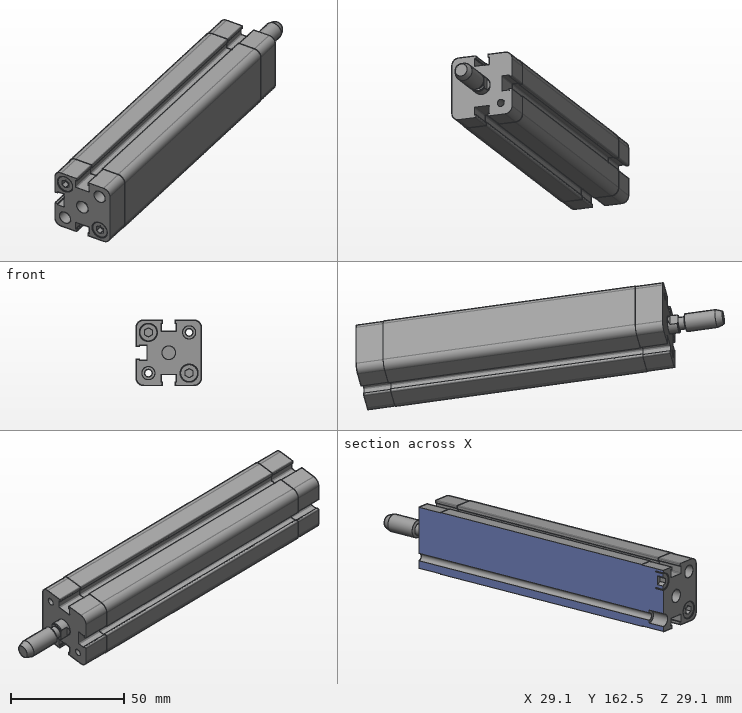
import cadquery as cq
import math

total_length = 162.5
rod_length = 24.5
cap_length = 12.25
body_length = total_length - rod_length

tube_side = 29.05
corner_radius = 3.5
cap_inset = 0.18

slot_depth = 4.85
slot_width = 6.6
slot_lip = 1.7
slot_opening = 5.4
slot_fillet = 0.3
slot_angles = (0, 90, 180)

hole_offset = 9.0
through_diameter = 3.24
counterbore_diameter = 5.8
counterbore_depth = 8.0
screw_bore_diameter = 8.0
screw_head_diameter = 7.5
screw_head_height = 4.0
screw_recess = 0.3
socket_flats = 3.5
socket_depth = 3.0

center_hole_diameter = 6.0
center_hole_depth = 6.0

rod_diameter = 8.0
rod_shoulder_length = 4.7
rod_shoulder_chamfer = 0.4
rod_flats = 6.0
rod_flats_start = 1.2
neck_diameter = 5.5
thread_length = 17.2
thread_runout = 0.5
tip_diameter = 5.7
tip_bulge = 0.12
tip_length = 3.0


def along_y(start):
    """Sketch plane at Y = start with local x = X, local y = Z, extruding toward +Y."""
    plane = cq.Plane(origin=(0, start, 0), xDir=(1, 0, 0), normal=(0, -1, 0))
    return cq.Workplane(plane)


def cylinder(diameter, start, length, x=0, z=0):
    return along_y(start).center(x, z).circle(diameter / 2).extrude(-length)


def slot_cutter(inset, start, length):
    """T-slot in the +Z side, rounded at its floor corners and at the edges of its mouth."""
    surface = tube_side / 2 - inset
    floor = tube_side / 2 - slot_depth - inset
    lip = tube_side / 2 - slot_lip + inset
    half_width = slot_width / 2 + inset
    half_opening = slot_opening / 2 + inset
    half_flare = half_opening + slot_fillet
    chamber = along_y(start).center(0, (floor + lip) / 2).rect(2 * half_width, lip - floor)
    chamber = chamber.extrude(-length).edges("|Y and <Z").fillet(slot_fillet)
    arc_drop = slot_fillet * (1 - math.sqrt(0.5))
    mouth = (
        along_y(start)
        .moveTo(-half_opening, floor + slot_fillet)
        .lineTo(half_opening, floor + slot_fillet)
        .lineTo(half_opening, surface - slot_fillet)
        .threePointArc((half_opening + arc_drop, surface - arc_drop), (half_flare, surface))
        .lineTo(-half_flare, surface)
        .threePointArc(
            (-half_opening - arc_drop, surface - arc_drop),
            (-half_opening, surface - slot_fillet),
        )
        .close()
        .extrude(-length)
    )
    return chamber.union(mouth)


def section(inset, start, length):
    """Length of the slotted square section, set in from the tube section by the given inset."""
    side = tube_side - 2 * inset
    bar = along_y(start).rect(side, side).extrude(-length)
    bar = bar.edges("|Y").fillet(corner_radius - inset)
    cutter = slot_cutter(inset, start, length)
    for angle in slot_angles:
        bar = bar.cut(cutter.rotate((0, 0, 0), (0, 1, 0), -angle))
    return bar


def body():
    tube_length = body_length - 2 * cap_length
    front_cap = section(cap_inset, 0, cap_length)
    tube = section(0, cap_length, tube_length)
    rear_cap = section(cap_inset, body_length - cap_length, cap_length)
    return front_cap.union(tube).union(rear_cap)


def mounting_hole(x, z):
    """Hole through the whole body, counterbored from the front face."""
    through = cylinder(through_diameter, 0, body_length, x, z)
    return through.union(cylinder(counterbore_diameter, 0, counterbore_depth, x, z))


def screw_bore(x, z):
    return cylinder(screw_bore_diameter, 0, screw_recess + screw_head_height, x, z)


def screw_head(x, z):
    """Hexagon-socket screw head standing on the floor of its bore, with socket points along Z."""
    head = cylinder(screw_head_diameter, screw_recess, screw_head_height, x, z)
    socket_points_diameter = socket_flats / math.cos(math.pi / 6)
    socket = along_y(screw_recess).center(x, z).transformed(rotate=(0, 0, 90))
    socket = socket.polygon(6, socket_points_diameter).extrude(-socket_depth)
    return head.cut(socket)


def rod():
    """Threaded rod with a waist, a crowned tip and two wrench flats at its base."""
    rod_radius = rod_diameter / 2
    neck_radius = neck_diameter / 2
    tip_radius = tip_diameter / 2
    thread_start = rod_length - thread_length
    tip_middle = ((rod_radius + tip_radius) / 2 + tip_bulge, rod_length - tip_length / 2)
    turned = (
        cq.Workplane("XY")
        .lineTo(rod_radius, 0)
        .lineTo(rod_radius, rod_shoulder_length - rod_shoulder_chamfer)
        .lineTo(rod_radius - rod_shoulder_chamfer, rod_shoulder_length)
        .lineTo(neck_radius, rod_shoulder_length)
        .lineTo(neck_radius, thread_start)
        .lineTo(rod_radius, thread_start + thread_runout)
        .lineTo(rod_radius, rod_length - tip_length)
        .threePointArc(tip_middle, (tip_radius, rod_length))
        .lineTo(0, rod_length)
        .close()
        .revolve(360, (0, 0, 0), (0, 1, 0))
    )
    flat_x = rod_flats / 2
    flat_depth = rod_radius - flat_x
    flat = (
        cq.Workplane("XY")
        .moveTo(flat_x, rod_flats_start)
        .lineTo(rod_radius, rod_flats_start - flat_depth)
        .lineTo(rod_radius, rod_shoulder_length)
        .lineTo(flat_x, rod_shoulder_length)
        .close()
        .extrude(rod_radius, both=True)
    )
    turned = turned.cut(flat).cut(flat.mirror("YZ"))
    return turned.translate((0, body_length, 0))


result = body().union(rod())
result = result.cut(cylinder(center_hole_diameter, 0, center_hole_depth))
for offset in (-hole_offset, hole_offset):
    result = result.cut(mounting_hole(offset, offset))
    result = result.cut(screw_bore(offset, -offset))
    result = result.union(screw_head(offset, -offset))